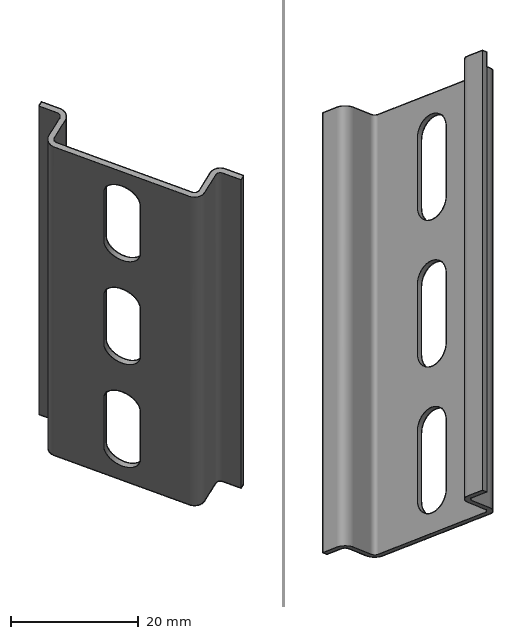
import cadquery as cq

length = 75.0
overall_width = 35.0
depth = 7.5
sheet = 1.0
channel_width = 27.0
inner_bend = 0.8
outer_bend = inner_bend + sheet

slot_count = 3
slot_pitch = length / slot_count
slot_width = 6.3
slot_length = 18.0


def box(width, front, back):
    """Full-length block centred on X between two Y positions."""
    return cq.Workplane("XY").box(width, back - front, length).translate((0, (front + back) / 2, 0))


def edges_at(half_width, y):
    """Selector for the pair of lengthwise edges at +/- half_width and y."""
    reach = sheet / 4
    left = cq.selectors.BoxSelector(
        (-half_width - reach, y - reach, -length),
        (-half_width + reach, y + reach, length),
    )
    right = cq.selectors.BoxSelector(
        (half_width - reach, y - reach, -length),
        (half_width + reach, y + reach, length),
    )
    return left + right


def hat_section():
    """Bent sheet: web, two side walls and two outward flanges."""
    front = -depth / 2
    back = depth / 2
    outer_half = channel_width / 2
    inner_half = outer_half - sheet
    channel = box(channel_width, front, back)
    flanges = box(overall_width, back - sheet, back)
    hollow = box(2 * inner_half, front + sheet, back)
    section = channel.union(flanges).cut(hollow)

    section = section.edges(edges_at(outer_half, front)).fillet(outer_bend)
    section = section.edges(edges_at(inner_half, front + sheet)).fillet(inner_bend)
    section = section.edges(edges_at(inner_half, back)).fillet(outer_bend)
    return section.edges(edges_at(outer_half, back - sheet)).fillet(inner_bend)


def slots():
    """Evenly spaced round-ended slots through the web."""
    return (
        cq.Workplane("XZ")
        .rarray(0.75, slot_pitch, 1, slot_count)
        .slot2D(slot_length, slot_width, 90)
        .extrude(depth, both=True)
    )


result = hat_section().cut(slots())